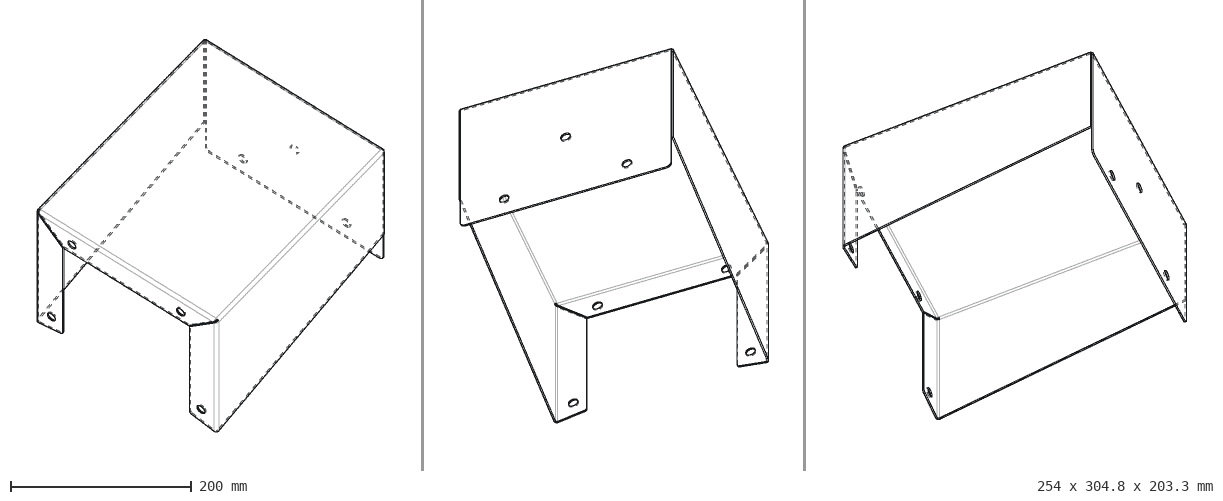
import cadquery as cq

width = 254.0
depth = 304.8
height = 203.3
sheet = 1.8
bend_radius = 4.0
inner_radius = bend_radius - sheet

flange_width = 38.0
miter_gap = 1.5
flange_slope = 0.185
flange_corner_radius = 3.7

seam_gap = 0.45
wall_rise = 51.0
back_corner_radius = 6.0

hole_diameter = 11.3
lower_hole_height = 25.5
back_hole_offset = 72.5
side_flange_hole_offset = 105.0
top_flange_hole_offset = 76.2
top_flange_hole_drop = 23.0

front = -depth / 2
back_inside = depth / 2 - sheet
wall_end = back_inside - seam_gap
back_half_width = width / 2 - sheet - seam_gap
front_cut_depth = 2 * bend_radius


def block(x_range, y_range, z_range):
    """Make an axis-aligned block from the limits on each axis."""
    sizes = [high - low for low, high in (x_range, y_range, z_range)]
    corner = (x_range[0], y_range[0], z_range[0])
    return cq.Workplane("XY").box(*sizes, centered=False).translate(corner)


def front_prism(outline, start, length):
    """Extrude a closed XZ outline towards +Y, beginning at Y = start."""
    return cq.Workplane("XZ", origin=(0, start, 0)).polyline(outline).close().extrude(-length)


def rounded_block(inset, radius):
    """Make the hood envelope moved inwards, with its folded edges rounded."""
    x_limit = width / 2 - inset
    y_limit = depth / 2 - inset
    body = block((-x_limit, x_limit), (-y_limit, y_limit), (0, height - inset))
    return body.edges(">Z or (|Z and <Y)").fillet(radius)


def hood_shell():
    """Make the closed shell, open only at the bottom."""
    return rounded_block(0, bend_radius).cut(rounded_block(sheet, inner_radius))


def front_opening():
    """Make the opening between the flanges, including their sloped lower ends."""
    opening_x = width / 2 - flange_width
    slope_top = flange_slope * flange_width
    outline = [
        (-width / 2, 0),
        (-opening_x, slope_top),
        (-opening_x, height - flange_width),
        (opening_x, height - flange_width),
        (opening_x, slope_top),
        (width / 2, 0),
    ]
    opening = front_prism(outline, front, front_cut_depth)
    rounded_ends = cq.selectors.BoxSelector(
        (-opening_x - 3, front - 3, slope_top - 3),
        (opening_x + 3, front + front_cut_depth + 3, slope_top + 3),
    )
    return opening.edges("|Y").edges(rounded_ends).fillet(flange_corner_radius)


def miter_slot(side):
    """Make the diagonal gap between the top flange and one side flange."""
    shift = miter_gap / 2**0.5
    outer_x = side * width / 2
    inner_x = side * (width / 2 - flange_width)
    outline = [
        (outer_x, height - shift),
        (outer_x, height + shift),
        (inner_x, height - flange_width + shift),
        (inner_x, height - flange_width - shift),
    ]
    return front_prism(outline, front, bend_radius)


def lower_wall_cut():
    """Make the wedge below the sloped lower edges of the side walls."""
    outline = [(front, 0), (wall_end, 0), (wall_end, wall_rise * (wall_end - front) / depth)]
    return cq.Workplane("YZ").polyline(outline).close().extrude(width / 2, both=True)


def back_seam(side):
    """Separate one side wall from the back plate and trim the plate to width."""
    outer_x = side * width / 2
    plate_x = side * back_half_width
    bend_x = side * (width / 2 - bend_radius)
    trim = block(sorted((plate_x, outer_x)), (wall_end, depth / 2), (0, height))
    gap = block(sorted((bend_x, outer_x)), (wall_end, back_inside), (0, height - bend_radius))
    return trim.union(gap)


def holes(points, start, length):
    """Make round hole cutters along Y at the given XZ points."""
    plane = cq.Workplane("XZ", origin=(0, start, 0))
    return plane.pushPoints(points).circle(hole_diameter / 2).extrude(-length)


flange_holes = []
back_holes = [(0, height / 2)]
for side in (-1, 1):
    flange_holes.append((side * top_flange_hole_offset, height - top_flange_hole_drop))
    flange_holes.append((side * side_flange_hole_offset, lower_hole_height))
    back_holes.append((side * back_hole_offset, lower_hole_height))

result = hood_shell().cut(front_opening()).cut(lower_wall_cut())
for side in (-1, 1):
    result = result.cut(miter_slot(side)).cut(back_seam(side))

back_corners = cq.selectors.BoxSelector(
    (-width, wall_end, -sheet), (width, depth, sheet)
)
result = result.edges("|Y").edges(back_corners).fillet(back_corner_radius)

result = result.cut(holes(flange_holes, front, front_cut_depth))
result = result.cut(holes(back_holes, wall_end, depth / 2 - wall_end))